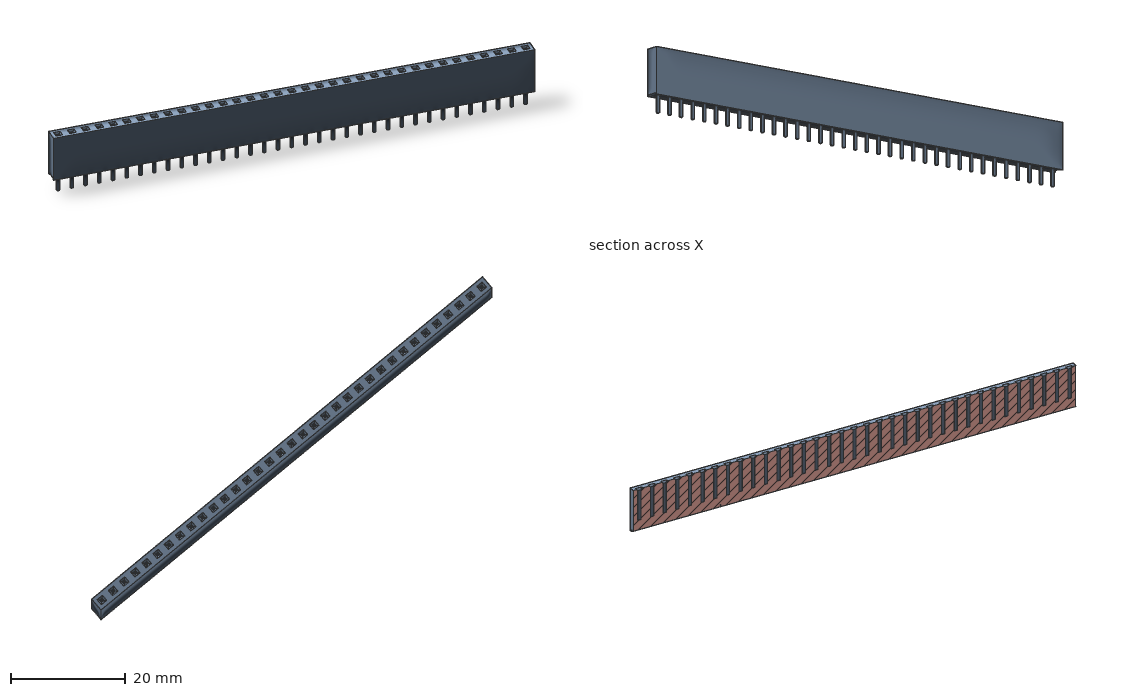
import cadquery as cq

pin_count = 35
body_length = 88.9
body_height = 8.5
overall_height = 11.6

pin_width = 0.6
pin_thickness = 0.3

tip_chamfer = 0.2

channel_width = 1.8
channel_depth = 0.3

funnel_depth = 0.31
socket_size_x = 0.5
socket_size_y = 0.58
socket_depth = 6.2

pitch = body_length / pin_count
body_width = pitch
pin_length = overall_height - body_height
funnel_size_x = socket_size_x + 2 * funnel_depth
funnel_size_y = socket_size_y + 2 * funnel_depth
socket_floor = body_height - socket_depth
row_positions = [(0, (i - (pin_count - 1) / 2) * pitch) for i in range(pin_count)]


def make_body():
    """Rectangular housing standing on Z = 0, with a shallow channel along its underside."""
    block = cq.Workplane("XY").box(body_width, body_length, body_height, centered=(True, True, False))
    channel = cq.Workplane("XY").box(
        channel_width, body_length, channel_depth, centered=(True, True, False)
    )
    return block.cut(channel)


def make_pins():
    """Flat pins with chamfered tips, hanging from the channel roof, one per position."""
    return (
        cq.Workplane("XY", origin=(0, 0, channel_depth))
        .pushPoints(row_positions)
        .rect(pin_thickness, pin_width)
        .extrude(-(pin_length + channel_depth))
        .faces("<Z")
        .edges("|X")
        .chamfer(tip_chamfer)
    )


def make_contact_cavity():
    """One contact cavity: a four-sided lead-in funnel above a blind straight socket."""
    funnel = (
        cq.Workplane("XY", origin=(0, 0, body_height))
        .rect(funnel_size_x, funnel_size_y)
        .workplane(offset=-funnel_depth)
        .rect(socket_size_x, socket_size_y)
        .loft(ruled=True)
    )
    socket = (
        cq.Workplane("XY", origin=(0, 0, socket_floor))
        .rect(socket_size_x, socket_size_y)
        .extrude(socket_depth - funnel_depth)
    )
    return funnel.union(socket)


def make_cavities():
    """The contact cavity repeated along the row."""
    cavity = make_contact_cavity().val()
    return cq.Workplane("XY").pushPoints(row_positions).eachpoint(lambda place: cavity.moved(place))


result = make_body().union(make_pins()).cut(make_cavities())